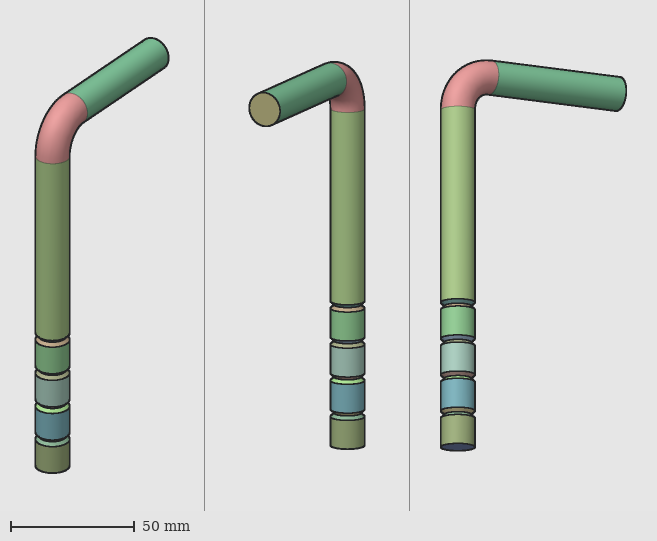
import cadquery as cq

rod_diameter = 14.0
overall_height = 162.0
overall_reach = 82.0
bend_radius = 15.0
groove_count = 4
groove_width = 3.0
groove_depth = 1.5
land_length = 12.0

rod_radius = rod_diameter / 2
arm_axis_z = overall_height - rod_radius
arm_end_y = overall_reach - rod_radius
bend_start_z = arm_axis_z - bend_radius
arm_length = arm_end_y - bend_radius
groove_pitch = land_length + groove_width


def bent_rod():
    """Round rod: vertical leg on the Z axis, a 90 degree bend, then an arm along +Y."""
    leg = cq.Workplane("XY").circle(rod_radius).extrude(bend_start_z)
    bend = (
        cq.Workplane("XY", origin=(0, 0, bend_start_z))
        .circle(rod_radius)
        .revolve(90, (0, bend_radius), (-1, bend_radius))
    )
    arm = (
        cq.Workplane("XZ", origin=(0, arm_end_y, arm_axis_z))
        .circle(rod_radius)
        .extrude(arm_length)
    )
    return leg.union(bend).union(arm)


def groove_cutter(bottom_z):
    """Ring with a V-shaped inner side that cuts one groove around the leg."""
    root_radius = rod_radius - groove_depth
    outer_radius = rod_radius + groove_depth
    middle_z = bottom_z + groove_width / 2
    top_z = bottom_z + groove_width
    return (
        cq.Workplane("XZ")
        .moveTo(root_radius, middle_z)
        .lineTo(rod_radius, bottom_z)
        .lineTo(outer_radius, bottom_z)
        .lineTo(outer_radius, top_z)
        .lineTo(rod_radius, top_z)
        .close()
        .revolve(360, (0, 0), (0, 1))
    )


result = bent_rod()
for index in range(groove_count):
    result = result.cut(groove_cutter(land_length + index * groove_pitch))